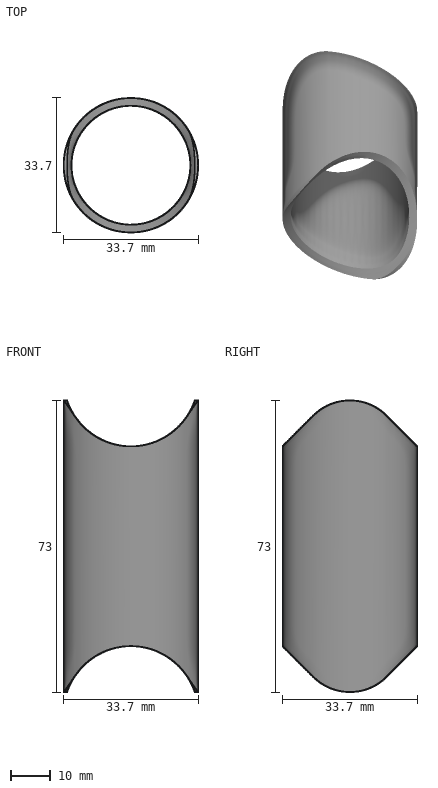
import cadquery as cq
import math

OUTER_DIAMETER = 33.7
INNER_DIAMETER = 29.7
OVERALL_LENGTH = 72.99
SADDLE_BOTTOM_HEIGHT = 25.0

outer_radius = OUTER_DIAMETER / 2
inner_radius = INNER_DIAMETER / 2
tip_height = OVERALL_LENGTH / 2

saddle_axis_height = SADDLE_BOTTOM_HEIGHT + outer_radius

rim_angle = math.radians(45)
crown_radius = (saddle_axis_height - tip_height) / (1 / math.cos(rim_angle) - 1)
crown_center_height = tip_height - crown_radius
tangent_y = crown_radius * math.sin(rim_angle)
tangent_height = crown_center_height + crown_radius * math.cos(rim_angle)
rim_edge_height = saddle_axis_height - outer_radius * math.tan(rim_angle)


def make_crowned_tube():
    """Tube along Z whose ends are trimmed by a rounded gable profile running along X."""
    profile = (
        cq.Workplane("YZ")
        .moveTo(-outer_radius, -rim_edge_height)
        .lineTo(-outer_radius, rim_edge_height)
        .lineTo(-tangent_y, tangent_height)
        .threePointArc((0, tip_height), (tangent_y, tangent_height))
        .lineTo(outer_radius, rim_edge_height)
        .lineTo(outer_radius, -rim_edge_height)
        .lineTo(tangent_y, -tangent_height)
        .threePointArc((0, -tip_height), (-tangent_y, -tangent_height))
        .close()
        .extrude(outer_radius, both=True)
    )
    tube = (
        cq.Workplane("XY")
        .circle(outer_radius)
        .circle(inner_radius)
        .extrude(tip_height, both=True)
    )
    return tube.intersect(profile)


def make_saddle_cutter(axis_height):
    """Pipe-sized cylinder along Y that notches one end of the tube."""
    return (
        cq.Workplane("XZ")
        .center(0, axis_height)
        .circle(outer_radius)
        .extrude(OUTER_DIAMETER, both=True)
    )


result = make_crowned_tube()
for end in (1, -1):
    result = result.cut(make_saddle_cutter(end * saddle_axis_height))